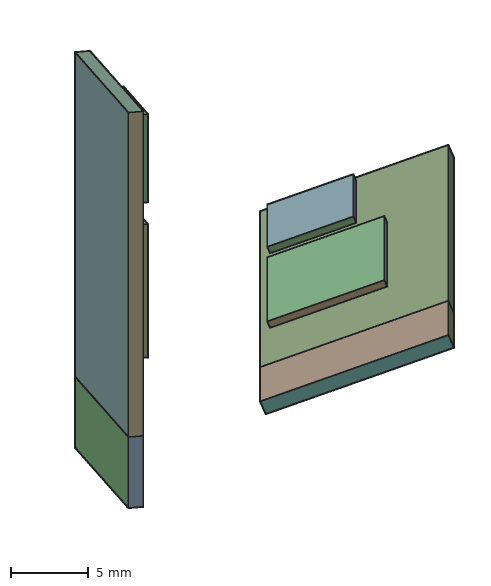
import cadquery as cq

board_width = 13.0
board_height = 26.7
total_thickness = 1.5
chip_thickness = total_thickness / 3
board_thickness = total_thickness - chip_thickness
end_height = 4.8

chip_right = 12.3
upper_chip_size = 5.95
upper_chip_top_gap = 0.45
lower_chip_width = 8.1
lower_chip_height = 9.0
chip_gap = 1.47

upper_chip_bottom = board_height - upper_chip_top_gap - upper_chip_size
lower_chip_bottom = upper_chip_bottom - chip_gap - lower_chip_height


def block(width, thickness, height, left, front, bottom):
    """Rectangular block placed by its left, front, bottom corner."""
    return cq.Workplane("XY").box(width, thickness, height, centered=False).translate((left, front, bottom))


def make_circuit_section():
    """Main part of the board, above the end section."""
    return block(board_width, board_thickness, board_height - end_height, 0, 0, end_height)


def make_end_section():
    """Lower end of the board, flush with the circuit section."""
    return block(board_width, board_thickness, end_height, 0, 0, 0)


def make_chip(width, height, bottom):
    """Flat chip lying on the back face of the board."""
    return block(width, chip_thickness, height, chip_right - width, board_thickness, bottom)


circuit_section = make_circuit_section()
end_section = make_end_section()
upper_chip = make_chip(upper_chip_size, upper_chip_size, upper_chip_bottom)
lower_chip = make_chip(lower_chip_width, lower_chip_height, lower_chip_bottom)

result = cq.Compound.makeCompound([
    circuit_section.val(),
    end_section.val(),
    upper_chip.val(),
    lower_chip.val(),
])